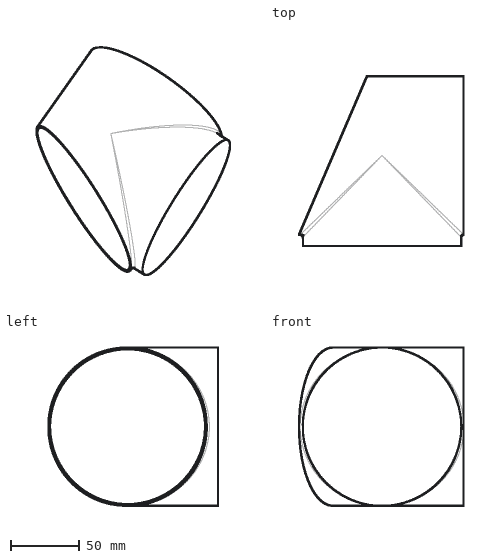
import cadquery as cq

longest_side = 124.3
pipe_diameter = 116.0
pipe_radius = pipe_diameter / 2
branch_reach = longest_side - pipe_radius
run_right_reach = 59.7
crotch_radius = 1.9

slant_front_reach = 60.8
slant_back_reach = 11.1

rim_width = 1.4
recess_depth = 0.1

rough_reach = 74.6


def run_cylinder(radius):
    """Cylinder along X, longer than the finished run at both ends."""
    return cq.Workplane("YZ").circle(radius).extrude(rough_reach, both=True)


def filleted_tee():
    """Over-long run and branch with their crotch edges rounded."""
    branch = cq.Workplane("XZ").circle(pipe_radius).extrude(rough_reach)
    return run_cylinder(pipe_radius).union(branch).edges("%ELLIPSE").fillet(crotch_radius)


def square_end_envelope():
    """Box that trims the right end of the run and the front end of the branch."""
    envelope = cq.Workplane("XY").box(
        rough_reach + run_right_reach,
        branch_reach + rough_reach,
        2 * rough_reach,
        centered=(False, False, True),
    )
    return envelope.translate((-rough_reach, -branch_reach, 0))


def block_left_of_slant(inset=0.0):
    """Full-height block left of the slanted end plane, which moves right by the inset."""
    far_left = -2 * rough_reach
    outline = [
        (inset - slant_front_reach, -pipe_radius),
        (inset - slant_back_reach, pipe_radius),
        (far_left, pipe_radius),
        (far_left, -pipe_radius),
    ]
    return cq.Workplane("XY").polyline(outline).close().extrude(pipe_radius, both=True)


def face_recess():
    """Round cutter that sinks the slanted face inside its rim."""
    return run_cylinder(pipe_radius - rim_width).intersect(block_left_of_slant(recess_depth))


trimmed_tee = filleted_tee().intersect(square_end_envelope()).cut(block_left_of_slant())
result = trimmed_tee.cut(face_recess())